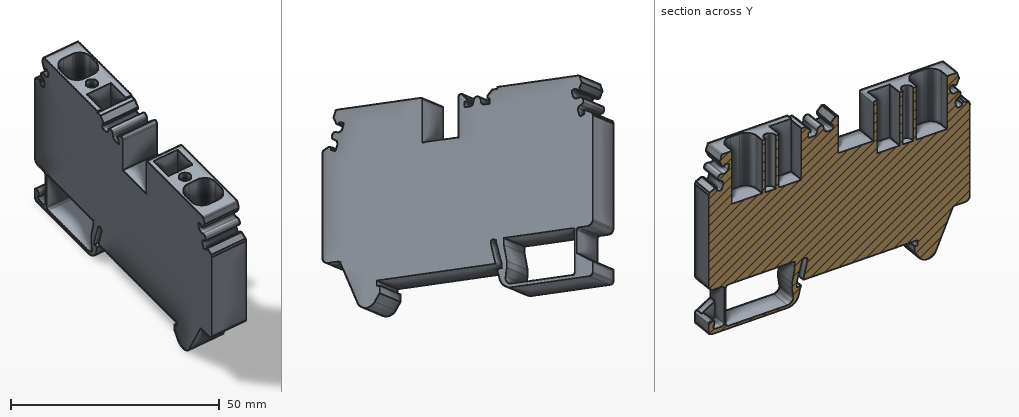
import cadquery as cq
import math

length = 75.0
thickness = 10.0
height = 50.0
half_length = length / 2

end_tilt = 70.0
shoulder_inset = 3.75
shoulder_drop = shoulder_inset * math.tan(math.radians(end_tilt))
step_x = -10.95
step_drop = 0.45
bridge_slot_left = -0.2
bridge_slot_right = 9.75
bridge_slot_depth = 11.1
tab_round = 0.7
shoulder_round = 0.4
tower_round = 0.45

body_floor = 12.45
body_corner = 1.5
rail_seat = 6.4
slot_top_left = -10.5
slot_top_right = -9.0
slot_low_left = -12.2
slot_low_right = -10.5
slot_low_left_z = 6.2
slot_round = 0.7
seat_round = 0.3
catch_z = 5.0
catch_x = -10.95
clip_bend_top = (-11.5, 3.0)
clip_bend_mid = (-12.5, 1.0)
clip_bend_start_x = -14.6
hook_heel_round = 1.0

post_left = -33.1
post_right = -32.5
post_round = 0.6
hook_top = 3.9
hook_width = 1.65
hook_step = 0.3
hook_step_z = 2.25
hook_floor = 1.35
hook_round = 0.7
hook_lip_round = 0.6
web_top = 6.15
web_thickness = 2.0

window_floor = 0.9
window_round = 0.6
window_corner = 1.65
window_right = -12.8
window_straight_z = 10.7
window_neck_x = -13.65
window_neck_top = 6.7
window_neck_bottom = 5.1
window_low_right = -13.0

foot_inner_x = 22.4
foot_tooth_x = 21.6
foot_tooth_bottom = 3.15
foot_tip_left = (22.95, 1.2)
foot_tip_mid = (25.3, 0.0)
foot_tip_right = (27.6, 1.2)
foot_root_x = 32.7
foot_root_round = 0.75

knob_radius = 1.0
knob_root_round = 1.1
groove_half = 3.5
groove_floor = -1.3
groove_round = 0.4
lip_half = 2.85
lip_bottom = 0.15
lip_top = 0.75
mouth_rise = 3.75
top_groove_x = -5.4
top_groove_drop = 2.6
end_groove_inset = 3.6
end_groove_drop = 6.45

wire_inset = 11.0
wire_size = 8.6
wire_corner = 3.0
wire_y = 0.1
test_inset = 17.8
test_diameter = 3.0
test_y = -0.6
tool_inset = 23.4
tool_length = 6.3
tool_width = 7.0
tool_y = -0.2
opening_depth = 15.0

pick_margin = 0.1


def extrude_through(sketch):
    """Extrude a sketch drawn on the XZ plane evenly about Y = 0."""
    return sketch.extrude(thickness / 2, both=True)


def round_corners(solid, corners, radius):
    """Fillet the edges along Y that pass through the given (x, z) corners."""
    for x, z in corners:
        near = cq.selectors.BoxSelector(
            (x - pick_margin, -thickness, z - pick_margin),
            (x + pick_margin, thickness, z + pick_margin),
        )
        solid = solid.edges(near).fillet(radius)
    return solid


def block():
    """Main profile, with the clip still solid between post and spring leg."""
    shoulder_z = height - shoulder_drop
    top_step_z = height - step_drop
    slot_floor_z = height - bridge_slot_depth
    sketch = (
        cq.Workplane("XZ")
        .moveTo(-half_length, body_floor)
        .lineTo(-half_length, shoulder_z)
        .lineTo(-half_length + shoulder_inset, height)
        .lineTo(step_x, height)
        .lineTo(step_x, top_step_z)
        .lineTo(bridge_slot_left, top_step_z)
        .lineTo(bridge_slot_left, slot_floor_z)
        .lineTo(bridge_slot_right, slot_floor_z)
        .lineTo(bridge_slot_right, height)
        .lineTo(half_length - shoulder_inset, height)
        .lineTo(half_length, shoulder_z)
        .lineTo(half_length, body_floor)
        .lineTo(foot_root_x, body_floor)
        .lineTo(*foot_tip_right)
        .threePointArc(foot_tip_mid, foot_tip_left)
        .lineTo(foot_tooth_x, foot_tooth_bottom)
        .lineTo(foot_tooth_x, catch_z)
        .lineTo(foot_inner_x, catch_z)
        .lineTo(foot_inner_x, rail_seat)
        .lineTo(slot_low_right, rail_seat)
        .lineTo(slot_top_right, body_floor)
        .lineTo(slot_top_left, body_floor)
        .lineTo(slot_low_left, slot_low_left_z)
        .lineTo(slot_low_left, catch_z)
        .lineTo(catch_x, catch_z)
        .lineTo(*clip_bend_top)
        .threePointArc(clip_bend_mid, (clip_bend_start_x, 0))
        .lineTo(-half_length, 0)
        .lineTo(-half_length, hook_top)
        .lineTo(-half_length + hook_width, hook_top)
        .lineTo(-half_length + hook_width, hook_step_z)
        .lineTo(-half_length + hook_width - hook_step, hook_step_z)
        .lineTo(-half_length + hook_width - hook_step, hook_floor)
        .lineTo(post_left, hook_floor)
        .lineTo(post_left, body_floor)
        .close()
    )
    solid = extrude_through(sketch)
    solid = round_corners(solid, [(-half_length, body_floor), (half_length, body_floor)], body_corner)
    solid = round_corners(solid, [(bridge_slot_left, top_step_z)], tab_round)
    solid = round_corners(solid, [(bridge_slot_right, height)], tower_round)
    solid = round_corners(solid, [(foot_root_x, body_floor)], foot_root_round)
    solid = round_corners(solid, [(slot_top_left, body_floor), (slot_top_right, body_floor)], slot_round)
    solid = round_corners(solid, [(-half_length, 0)], hook_heel_round)
    shoulders = [(side * (half_length - shoulder_inset), height) for side in (-1, 1)]
    solid = round_corners(solid, shoulders, shoulder_round)
    solid = round_corners(solid, [(slot_low_right, rail_seat), (foot_inner_x, catch_z)], seat_round)
    solid = round_corners(solid, [(post_left, body_floor)], post_round)
    hook_lip = [(-half_length, hook_top), (-half_length + hook_width, hook_top)]
    solid = round_corners(solid, hook_lip, hook_lip_round)
    hook_corners = [
        (-half_length + hook_width - hook_step, hook_floor),
        (post_left, hook_floor),
    ]
    return round_corners(solid, hook_corners, hook_round)


def clip_window():
    """Opening between the post and the bent spring leg."""
    sketch = (
        cq.Workplane("XZ")
        .moveTo(post_right, window_floor)
        .lineTo(post_right, body_floor)
        .lineTo(window_right, body_floor)
        .lineTo(window_right, window_straight_z)
        .lineTo(window_neck_x, window_neck_top)
        .lineTo(window_neck_x, window_neck_bottom)
        .lineTo(window_low_right, window_floor)
        .close()
    )
    solid = extrude_through(sketch)
    solid = round_corners(solid, [(post_right, window_floor), (post_right, body_floor)], window_round)
    return round_corners(solid, [(window_low_right, window_floor)], window_corner)


def hook_web():
    """Thin gusset between hook and post, on the +Y side only."""
    web_start_x = -half_length + hook_lip_round
    web_bottom = hook_floor / 2
    return (
        cq.Workplane("XZ", origin=(0, thickness / 2, 0))
        .moveTo(web_start_x, hook_top)
        .lineTo(post_left, web_top)
        .lineTo(post_left, web_bottom)
        .lineTo(web_start_x, web_bottom)
        .close()
        .extrude(web_thickness)
    )


def marker_groove(x, z, tilt):
    """Cutter for a lipped groove around a knob centred at (x, z), tilted from upright about Y."""
    knob_foot = groove_floor + knob_root_round
    knob_root_half = knob_radius + knob_root_round
    mouth_half = lip_half + mouth_rise
    mouth_top = lip_top + mouth_rise
    sketch = (
        cq.Workplane("XZ")
        .moveTo(-knob_radius, 0)
        .threePointArc((0, knob_radius), (knob_radius, 0))
        .lineTo(knob_radius, knob_foot)
        .radiusArc((knob_root_half, groove_floor), -knob_root_round)
        .lineTo(groove_half, groove_floor)
        .lineTo(groove_half, lip_bottom)
        .lineTo(lip_half, lip_bottom)
        .lineTo(lip_half, lip_top)
        .lineTo(mouth_half, mouth_top)
        .lineTo(-mouth_half, mouth_top)
        .lineTo(-lip_half, lip_top)
        .lineTo(-lip_half, lip_bottom)
        .lineTo(-groove_half, lip_bottom)
        .lineTo(-groove_half, groove_floor)
        .lineTo(-knob_root_half, groove_floor)
        .radiusArc((-knob_radius, knob_foot), -knob_root_round)
        .close()
    )
    solid = extrude_through(sketch)
    pockets = [(side * groove_half, level) for side in (-1, 1) for level in (groove_floor, lip_bottom)]
    solid = round_corners(solid, pockets, groove_round)
    return solid.rotate((0, 0, 0), (0, 1, 0), tilt).translate((x, 0, z))


def top_openings(side):
    """Wire funnel, test hole and tool pocket at one end; side is -1 or +1."""
    top = cq.Workplane("XY", origin=(0, 0, height))
    wire = (
        top.center(side * (half_length - wire_inset), wire_y)
        .rect(wire_size, wire_size)
        .extrude(-opening_depth)
        .edges("|Z")
        .fillet(wire_corner)
    )
    test = (
        top.center(side * (half_length - test_inset), test_y)
        .circle(test_diameter / 2)
        .extrude(-opening_depth)
    )
    tool = (
        top.center(side * (half_length - tool_inset), tool_y)
        .rect(tool_length, tool_width)
        .extrude(-opening_depth)
    )
    return wire.union(test).union(tool)


result = block().cut(clip_window()).union(hook_web())
result = result.cut(marker_groove(top_groove_x, height - top_groove_drop, 0))
for side in (-1, 1):
    groove_x = side * (half_length - end_groove_inset)
    result = result.cut(marker_groove(groove_x, height - end_groove_drop, side * end_tilt))
    result = result.cut(top_openings(side))